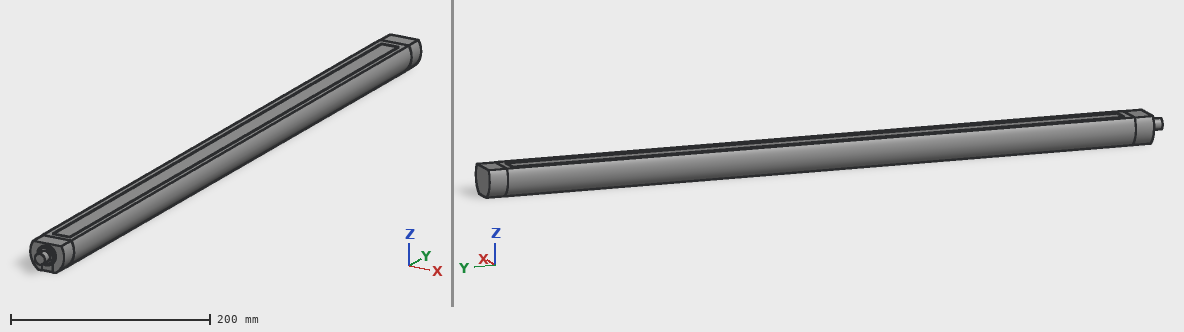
import cadquery as cq

total_length = 728.0
height = 30.0
width = 40.0
widest_depth = 12.0
top_width = 33.5
bottom_width = 20.5
cap_inset = 0.4
cap_length = 20.0
cap_top_step = 0.15

window_width = 20.0
window_margin = 9.0
window_depth = 1.0

connector_depth = 12.5
flange_radius = 10.0
flange_length = 2.0
collar_radius = 9.0
collar_length = 2.0
barrel_radius = 6.0
barrel_length = 10.0

groove_width = 12.5
groove_depth = 1.0

front_face = flange_length + collar_length + barrel_length
body_start = front_face + cap_length
body_end = total_length - cap_length
body_length = body_end - body_start

widest_z = height - widest_depth
connector_z = height - connector_depth


def bar(start, length, inset, top_z):
    """Bar with a flat top and bottom, and one bulging arc on each side."""
    half_top = top_width / 2 - inset
    half_width = width / 2 - inset
    half_bottom = bottom_width / 2 - inset
    return (
        cq.Workplane("XZ", origin=(0, start, 0))
        .moveTo(-half_top, top_z)
        .lineTo(half_top, top_z)
        .threePointArc((half_width, widest_z), (half_bottom, 0))
        .lineTo(-half_bottom, 0)
        .threePointArc((-half_width, widest_z), (-half_top, top_z))
        .close()
        .extrude(-length)
    )


def connector_cylinder(radius, start, length):
    """Cylinder on the connector axis, running towards +Y from start."""
    return cq.Workplane("XZ", origin=(0, start, connector_z)).circle(radius).extrude(-length)


result = bar(body_start, body_length, 0, height)
for cap_start in (front_face, body_end):
    result = result.union(bar(cap_start, cap_length, cap_inset, height - cap_top_step))

window = cq.Workplane("XY").box(
    window_width, body_length - 2 * window_margin, window_depth, centered=(True, True, False)
)
result = result.cut(window.translate((0, (body_start + body_end) / 2, height - window_depth)))

groove = cq.Workplane("XY").box(groove_width, groove_depth, connector_z, centered=(True, False, False))
result = result.cut(groove.translate((0, front_face, 0)))

flange_start = front_face - flange_length
collar_start = flange_start - collar_length
result = result.union(connector_cylinder(flange_radius, flange_start, flange_length + groove_depth))
result = result.union(connector_cylinder(collar_radius, collar_start, collar_length))
result = result.union(connector_cylinder(barrel_radius, 0, barrel_length))